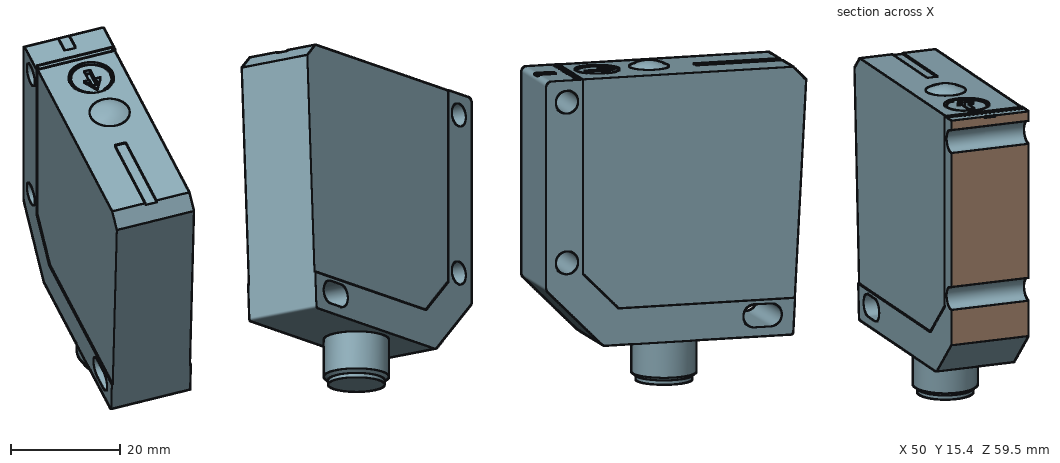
import cadquery as cq

WIDTH = 50.0
THICKNESS = 15.4
HEIGHT = 50.0
FOOT_WIDTH = 47.4
TOP_CHAMFER = 2.5
CORNER_CUT = 10.95
CORNER_RADIUS = 1.0
FOOT_RADIUS = 0.505

PANEL_LEFT = 7.1
PANEL_BOTTOM = 6.85
PANEL_CORNER_CUT = 6.85
PANEL_RECESS = 0.2

HOLE_DIAMETER = 4.3
HOLE_X = 4.0
HOLE_LOWER_Z = 15.95
HOLE_SPACING = 30.0
SLOT_X = 41.55
SLOT_Z = 3.9
SLOT_LENGTH = 7.4

MARK_DEPTH = 0.25
MARK_WIDTH = 2.15
MARK_CORNER_RADIUS = 0.25
REAR_MARK_END = 4.05
FRONT_MARK_START = 30.95
SEAM_WIDTH = 1.0
SEAM_LENGTH = 14.5
SEAM_DEPTH = 0.2

CONTROLS_Y = 1.0
DOME_X = 22.45
DOME_DIAMETER = 7.4
DOME_HEIGHT = 1.0
SCREW_X = 12.5
SCREW_BORE_DIAMETER = 8.3
SCREW_BORE_DEPTH = 0.7
SCREW_DIAMETER = 7.45
SCREW_SINK = 0.25
SCREW_TAB_WIDTH = 2.4

BLADE_SLOT_START = -2.25
ARROW_HEAD_BASE = 0.6
ARROW_TIP = 3.35
ARROW_HEAD_WIDTH = 3.2
ARROW_HEAD_RISE = 0.35
BLADE_SLOT_END = 2.2
BLADE_SLOT_WIDTH = 1.2
BLADE_SLOT_DEPTH = 1.2

CONNECTOR_X = WIDTH / 2
CONNECTOR_DIAMETER = 12.0
CONNECTOR_TIP_DIAMETER = 10.4
CONNECTOR_LENGTH = 8.5
CONNECTOR_BARREL_LENGTH = 7.0
CONNECTOR_TAPER_LENGTH = 0.65


def box_between(x_min, x_max, y_center, width, top, depth):
    """Box spanning x_min to x_max, reaching down from the level top."""
    return (
        cq.Workplane("XY", origin=((x_min + x_max) / 2, y_center, top))
        .rect(x_max - x_min, width)
        .extrude(-depth)
    )


def cylinder_down(x, y, top, diameter, depth):
    return cq.Workplane("XY", origin=(x, y, top)).circle(diameter / 2).extrude(-depth)


def make_housing():
    outline = [
        (CORNER_CUT, 0),
        (FOOT_WIDTH, 0),
        (WIDTH, HEIGHT - TOP_CHAMFER),
        (WIDTH - TOP_CHAMFER, HEIGHT),
        (0, HEIGHT),
        (0, CORNER_CUT),
    ]
    body = cq.Workplane("XZ").polyline(outline).close().extrude(THICKNESS / 2, both=True)
    rear_edges = cq.selectors.BoxSelector((-0.6, -0.6, -0.6), (CORNER_CUT + 0.6, 0.6, HEIGHT + 0.6))
    body = body.edges("|Y").edges(rear_edges).fillet(CORNER_RADIUS)
    foot_edge = cq.selectors.BoxSelector((FOOT_WIDTH - 0.6, -0.6, -0.6), (FOOT_WIDTH + 0.6, 0.6, 0.6))
    return body.edges("|Y").edges(foot_edge).fillet(FOOT_RADIUS)


def make_panel_recess(outer_y):
    """Cutter for one side panel; outer_y is the housing side it sinks into."""
    outline = [
        (PANEL_LEFT, HEIGHT),
        (PANEL_LEFT, PANEL_BOTTOM + PANEL_CORNER_CUT),
        (PANEL_LEFT + PANEL_CORNER_CUT, PANEL_BOTTOM),
        (WIDTH, PANEL_BOTTOM),
        (WIDTH, HEIGHT),
    ]
    return (
        cq.Workplane("XZ", origin=(0, outer_y, 0))
        .polyline(outline)
        .close()
        .extrude(PANEL_RECESS, both=True)
    )


def make_mounting_holes():
    upper_z = HOLE_LOWER_Z + HOLE_SPACING
    holes = (
        cq.Workplane("XZ")
        .pushPoints([(HOLE_X, HOLE_LOWER_Z), (HOLE_X, upper_z)])
        .circle(HOLE_DIAMETER / 2)
        .extrude(THICKNESS, both=True)
    )
    slot = (
        cq.Workplane("XZ", origin=(SLOT_X, 0, SLOT_Z))
        .slot2D(SLOT_LENGTH, HOLE_DIAMETER)
        .extrude(THICKNESS, both=True)
    )
    return holes.union(slot)


def make_top_marks():
    rear_mark = box_between(-MARK_WIDTH, REAR_MARK_END, 0, MARK_WIDTH, HEIGHT, MARK_DEPTH)
    front_mark = box_between(FRONT_MARK_START, WIDTH, 0, MARK_WIDTH, HEIGHT, MARK_DEPTH)
    seam = box_between(PANEL_LEFT - SEAM_WIDTH, PANEL_LEFT, 0, SEAM_LENGTH, HEIGHT, SEAM_DEPTH)
    marks = rear_mark.union(front_mark).edges("|Z").fillet(MARK_CORNER_RADIUS)
    return marks.union(seam)


def make_screw():
    """Screw disc with a pointer tab and a raised arrow head; the blade slot is cut later."""
    face_z = HEIGHT - SCREW_SINK
    disc_height = SCREW_BORE_DEPTH - SCREW_SINK
    disc = cylinder_down(SCREW_X, CONTROLS_Y, face_z, SCREW_DIAMETER, disc_height)
    bore = cylinder_down(SCREW_X, CONTROLS_Y, face_z, SCREW_BORE_DIAMETER, disc_height)
    tab = box_between(
        SCREW_X, SCREW_X + SCREW_BORE_DIAMETER, CONTROLS_Y, SCREW_TAB_WIDTH, face_z, disc_height
    )
    arrow_head = (
        cq.Workplane("XY", origin=(SCREW_X, CONTROLS_Y, face_z))
        .moveTo(ARROW_HEAD_BASE, -ARROW_HEAD_WIDTH / 2)
        .lineTo(ARROW_TIP, 0)
        .lineTo(ARROW_HEAD_BASE, ARROW_HEAD_WIDTH / 2)
        .close()
        .extrude(ARROW_HEAD_RISE)
    )
    return disc.union(tab.intersect(bore)).union(arrow_head)


def make_blade_slot():
    arrow_top = HEIGHT - SCREW_SINK + ARROW_HEAD_RISE
    return box_between(
        SCREW_X + BLADE_SLOT_START, SCREW_X + BLADE_SLOT_END, CONTROLS_Y,
        BLADE_SLOT_WIDTH, arrow_top, BLADE_SLOT_DEPTH + arrow_top - HEIGHT,
    )


def make_dome():
    sphere_radius = ((DOME_DIAMETER / 2) ** 2 + DOME_HEIGHT ** 2) / (2 * DOME_HEIGHT)
    center_z = HEIGHT + DOME_HEIGHT - sphere_radius
    sphere = cq.Workplane("XY", origin=(DOME_X, CONTROLS_Y, center_z)).sphere(sphere_radius)
    cap_zone = cylinder_down(
        DOME_X, CONTROLS_Y, HEIGHT + DOME_HEIGHT, 2 * DOME_DIAMETER, DOME_HEIGHT
    )
    return sphere.intersect(cap_zone)


def make_connector():
    barrel_length = CONNECTOR_BARREL_LENGTH + CONNECTOR_TAPER_LENGTH
    taper_inset = (CONNECTOR_DIAMETER - CONNECTOR_TIP_DIAMETER) / 2
    barrel = cylinder_down(CONNECTOR_X, 0, 0, CONNECTOR_DIAMETER, barrel_length)
    barrel = barrel.faces("<Z").chamfer(CONNECTOR_TAPER_LENGTH, taper_inset)
    tip = cylinder_down(CONNECTOR_X, 0, 0, CONNECTOR_TIP_DIAMETER, CONNECTOR_LENGTH)
    return barrel.union(tip)


result = make_housing()
for side_y in (-THICKNESS / 2, THICKNESS / 2):
    result = result.cut(make_panel_recess(side_y))
result = result.cut(make_mounting_holes()).cut(make_top_marks())
result = result.cut(cylinder_down(SCREW_X, CONTROLS_Y, HEIGHT, SCREW_BORE_DIAMETER, SCREW_BORE_DEPTH))
result = result.union(make_screw()).cut(make_blade_slot())
result = result.union(make_dome()).union(make_connector())